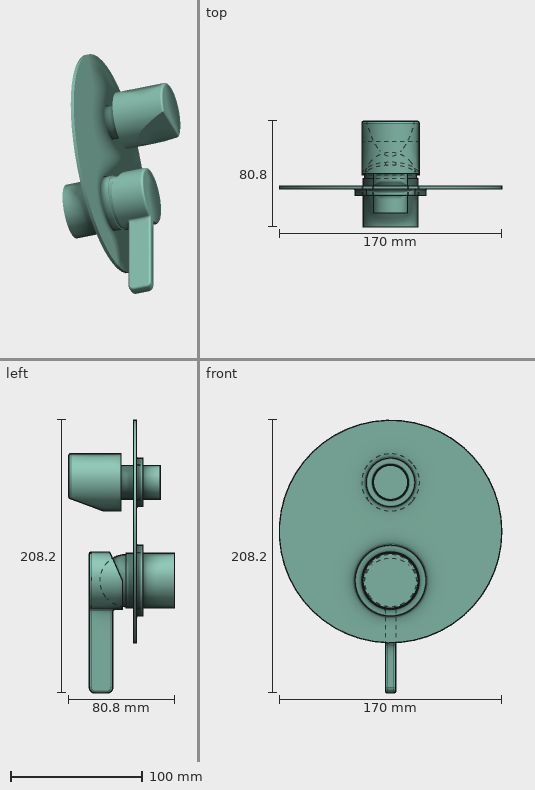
import cadquery as cq


plate_diameter = 170.0
plate_thickness = 2.5
control_offset = 37.5
diverter_z = control_offset
mixer_z = -control_offset

collar_height = 5.0
diverter_collar_diameter = 37.0
mixer_collar_diameter = 54.1
collar_rim_fillet = 0.5
collar_base_fillet = 0.8
stem_clearance = 0.73

diverter_stem_diameter = 26.0
diverter_stem_front = -18.1
mixer_stem_diameter = 41.9
mixer_stem_front = -29.0
mixer_stem_back = 8.1
ball_diameter = 40.0

overall_depth = 80.8
head_diameter = 44.0
head_radius = head_diameter / 2
edge_fillet = 1.7

knob_front = 11.9
knob_back = mixer_stem_front + overall_depth
bevel_start = 25.0
bevel_rise = 10.0

lever_front = 10.8
lever_back = 36.2
relief_top = 20.6
handle_width = 8.1
handle_depth = 18.1
handle_tip_radius = 4.4
overall_height = 208.2
handle_tip_z = plate_diameter / 2 - overall_height

pick_margin = 0.2


def rod(diameter, y_front, y_back, z):
    """Cylinder along Y, centred on X = 0 at the given height."""
    return cq.Workplane("XZ", origin=(0, y_back, z)).circle(diameter / 2).extrude(y_back - y_front)


def side_prism(points, width):
    """Prism across X, symmetric about X = 0, from (Y, Z) points."""
    return cq.Workplane("YZ").polyline(points).close().extrude(width / 2, both=True)


def circles_at(y, z, reach):
    """Selector for the whole edges lying at one Y, within a given reach of a control axis."""
    return cq.selectors.BoxSelector(
        (-reach, y - pick_margin, z - reach),
        (reach, y + pick_margin, z + reach),
        boundingbox=True,
    )


def make_plate():
    """Round plate with two rounded collars, each bored through for a stem."""
    plate = rod(plate_diameter, 0, plate_thickness, 0)
    controls = [
        (diverter_collar_diameter, diverter_stem_diameter, diverter_z),
        (mixer_collar_diameter, mixer_stem_diameter, mixer_z),
    ]
    for collar_diameter, stem_diameter, z in controls:
        hole_diameter = stem_diameter + 2 * stem_clearance
        plate = plate.union(rod(collar_diameter, -collar_height, 0, z))
        plate = plate.cut(rod(hole_diameter, -collar_height, plate_thickness, z))
        plate = plate.edges(circles_at(-collar_height, z, collar_diameter)).fillet(collar_rim_fillet)
        plate = plate.edges(circles_at(0, z, collar_diameter)).fillet(collar_base_fillet)
    return plate


def make_diverter_stem():
    """Plain round stem that ends against the front of the knob."""
    return rod(diverter_stem_diameter, diverter_stem_front, knob_front, diverter_z)


def make_knob():
    """Round knob with a flat bevel underneath and a rounded back edge."""
    knob = rod(head_diameter, knob_front, knob_back, diverter_z)
    underside = diverter_z - head_radius
    bevel = side_prism(
        [(bevel_start, underside), (knob_back, underside + bevel_rise), (knob_back, underside)],
        head_diameter,
    )
    return knob.cut(bevel).faces(">Y").edges().fillet(edge_fillet)


def make_ball():
    """Ball centred on the back face of the mixer stem."""
    return cq.Workplane("XY", origin=(0, mixer_stem_back, mixer_z)).sphere(ball_diameter / 2)


def make_mixer_stem():
    """Round stem with half of the ball standing out of its back face."""
    return rod(mixer_stem_diameter, mixer_stem_front, mixer_stem_back, mixer_z).union(make_ball())


def make_lever():
    """Round head with a sloped relief, a rounded handle hanging down and a socket for the ball."""
    head = rod(head_diameter, lever_front, lever_back, mixer_z)
    top = mixer_z + head_radius
    relief = side_prism([(lever_front, mixer_z), (relief_top, top), (lever_front, top)], head_diameter)
    handle = (
        cq.Workplane("XY")
        .box(handle_width, handle_depth, mixer_z - handle_tip_z, centered=(True, False, False))
        .translate((0, lever_back - handle_depth, handle_tip_z))
        .edges("|X and <Z")
        .fillet(handle_tip_radius)
    )
    lever = head.cut(relief).union(handle)
    rounded_edges = cq.selectors.BoxSelector(
        (-head_diameter, lever_back - handle_depth - pick_margin, handle_tip_z - pick_margin),
        (head_diameter, lever_back + pick_margin, mixer_z + head_diameter),
        boundingbox=True,
    )
    return lever.edges(rounded_edges).fillet(edge_fillet).cut(make_ball())


plate = make_plate()
diverter_stem = make_diverter_stem()
knob = make_knob()
mixer_stem = make_mixer_stem()
lever = make_lever()
result = cq.Compound.makeCompound(
    [plate.val(), diverter_stem.val(), knob.val(), mixer_stem.val(), lever.val()]
)